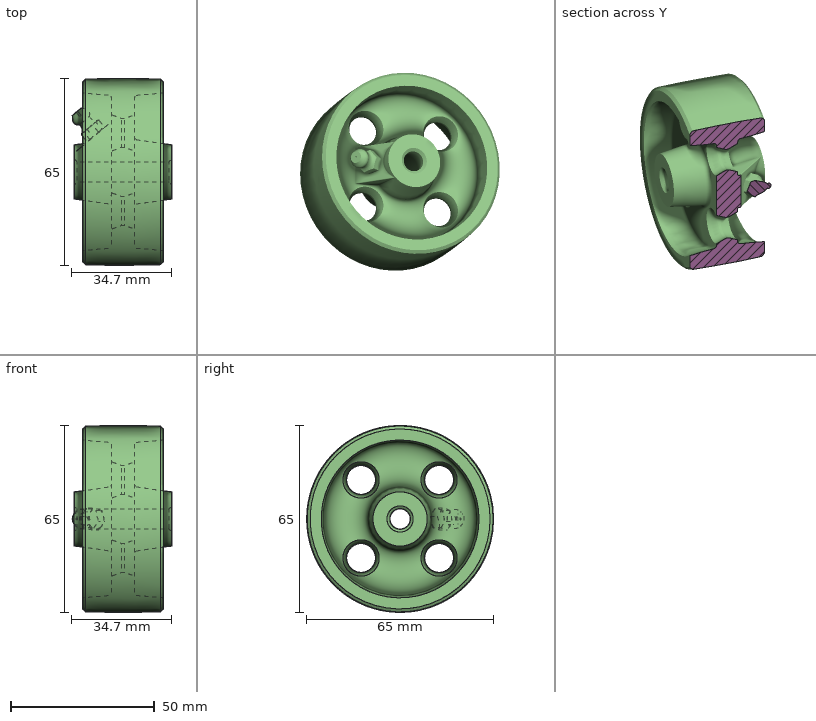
import cadquery as cq
import math

WHEEL_RADIUS = 32.5
CROWN = 0.2
RIM_WIDTH = 28.0
RIM_CHAMFER = 1.05
RIM_INNER_RADIUS = 27.4
RIM_DRAFT = 5.0
WEB_THICKNESS = 8.0
WEB_FILLET = 1.0
HUB_LENGTH = 34.0
HUB_RADIUS = 9.4
HUB_DRAFT = 8.0
BORE_RADIUS = 3.5
BORE_CHAMFER = 1.05

HOLE_COUNT = 4
HOLE_PITCH_RADIUS = 19.2
HOLE_MOUTH_RADIUS = 6.3
HOLE_LAND_RADIUS = 5.0
HOLE_LAND_LENGTH = 1.0

PAD_ANGLE = 50.0
PAD_REACH = 17.5
PAD_WIDTH = 13.0
PAD_FILLET = 0.25

NIPPLE_OFFSET = 7.0
HEX_SIDES = 6
HEX_FLATS = 7.0
HEX_HEIGHT = 3.25
HEX_TURN = 12.5
HEX_BEVEL = 0.25
FLARE_RADIUS = 2.55
FLARE_HEIGHT = 4.55
NECK_RADIUS = 2.2
NECK_HEIGHT = 6.3
BALL_RADIUS = 3.3
BALL_HEIGHT = 7.9
SHOULDER_RADIUS = 2.85
SHOULDER_HEIGHT = 9.3
TIP_RADIUS = 2.1
TIP_HEIGHT = 10.4
OIL_HOLE_RADIUS = 0.3
OIL_HOLE_DEPTH = 1.95

SELECTION_MARGIN = 0.05

half_rim = RIM_WIDTH / 2
half_web = WEB_THICKNESS / 2
half_hub = HUB_LENGTH / 2
tread_edge_radius = WHEEL_RADIUS - CROWN
rim_root_radius = RIM_INNER_RADIUS - (half_rim - half_web) * math.tan(math.radians(RIM_DRAFT))
hub_root_radius = HUB_RADIUS + (half_hub - half_web) * math.tan(math.radians(HUB_DRAFT))

pad_normal = cq.Vector(
    -math.cos(math.radians(PAD_ANGLE)), math.sin(math.radians(PAD_ANGLE)), 0
)
pad_uphill = cq.Vector(-pad_normal.y, pad_normal.x, 0)
pad_foot = cq.Vector(-half_web, PAD_REACH, 0)
nipple_plane = cq.Plane(
    origin=pad_foot + pad_uphill * NIPPLE_OFFSET, xDir=pad_uphill, normal=pad_normal
)


def revolve_about_x(profile):
    """Turn a closed XY profile (x along the axis, y as radius) about the X axis."""
    return profile.revolve(360, (0, 0, 0), (1, 0, 0))


def make_wheel_blank():
    """Solid rim, web and hub; the profile is symmetric about x = 0."""
    chamfer_start = half_rim - RIM_CHAMFER
    profile = (
        cq.Workplane("XY")
        .moveTo(-half_hub, 0)
        .lineTo(-half_hub, HUB_RADIUS)
        .lineTo(-half_web, hub_root_radius)
        .lineTo(-half_web, rim_root_radius)
        .lineTo(-half_rim, RIM_INNER_RADIUS)
        .lineTo(-half_rim, tread_edge_radius - RIM_CHAMFER)
        .lineTo(-chamfer_start, tread_edge_radius)
        .threePointArc((0, WHEEL_RADIUS), (chamfer_start, tread_edge_radius))
        .lineTo(half_rim, tread_edge_radius - RIM_CHAMFER)
        .lineTo(half_rim, RIM_INNER_RADIUS)
        .lineTo(half_web, rim_root_radius)
        .lineTo(half_web, hub_root_radius)
        .lineTo(half_hub, HUB_RADIUS)
        .lineTo(half_hub, 0)
        .close()
    )
    blank = revolve_about_x(profile)
    corner_reach = rim_root_radius + SELECTION_MARGIN
    web_corners = cq.selectors.BoxSelector(
        (-half_web - SELECTION_MARGIN, -corner_reach, -corner_reach),
        (half_web + SELECTION_MARGIN, corner_reach, corner_reach),
        boundingbox=True,
    )
    return blank.edges(web_corners).fillet(WEB_FILLET)


def make_pad():
    """Wedge rising from the web into the hub on the -X, +Y side, as high as the hub face."""
    climb = half_hub - half_web
    top_reach = PAD_REACH - climb * pad_uphill.y / pad_uphill.x
    return (
        cq.Workplane("XY")
        .moveTo(0, 0)
        .lineTo(0, PAD_REACH)
        .lineTo(-half_web, PAD_REACH)
        .lineTo(-half_hub, top_reach)
        .lineTo(-half_hub, 0)
        .close()
        .extrude(PAD_WIDTH / 2, both=True)
    )


def make_bore():
    """Shaft bore with a chamfer at both hub faces."""
    mouth_radius = BORE_RADIUS + BORE_CHAMFER
    chamfer_start = half_hub - BORE_CHAMFER
    profile = cq.Workplane("XY").polyline([
        (-half_hub, 0),
        (-half_hub, mouth_radius),
        (-chamfer_start, BORE_RADIUS),
        (chamfer_start, BORE_RADIUS),
        (half_hub, mouth_radius),
        (half_hub, 0),
    ]).close()
    return revolve_about_x(profile)


def make_lightening_hole(angle):
    """Double-tapered hole through the web, turned to its angle about the X axis."""
    half_land = HOLE_LAND_LENGTH / 2
    profile = cq.Workplane("XY").polyline([
        (-half_web, 0),
        (-half_web, HOLE_MOUTH_RADIUS),
        (-half_land, HOLE_LAND_RADIUS),
        (half_land, HOLE_LAND_RADIUS),
        (half_web, HOLE_MOUTH_RADIUS),
        (half_web, 0),
    ]).close()
    return (
        revolve_about_x(profile)
        .translate((0, HOLE_PITCH_RADIUS, 0))
        .rotate((0, 0, 0), (1, 0, 0), angle)
    )


def make_wheel():
    """Wheel with its filleted pad, bore and lightening holes."""
    pad_box = cq.selectors.BoxSelector(
        (-half_hub - SELECTION_MARGIN, 0, -PAD_WIDTH / 2 - SELECTION_MARGIN),
        (-half_web + SELECTION_MARGIN, PAD_REACH + SELECTION_MARGIN, PAD_WIDTH / 2 + SELECTION_MARGIN),
        boundingbox=True,
    )
    wheel = make_wheel_blank().union(make_pad()).edges(pad_box).fillet(PAD_FILLET)
    wheel = wheel.cut(make_bore())
    pitch_angle = 360 / HOLE_COUNT
    for index in range(HOLE_COUNT):
        wheel = wheel.cut(make_lightening_hole((index + 0.5) * pitch_angle))
    return wheel.solids().val()


def make_nipple():
    """Grease nipple turned from hexagon bar, built upright, then seated on the pad."""
    corner_radius = HEX_FLATS / 2 / math.cos(math.pi / HEX_SIDES)
    turned_shape = (
        cq.Workplane("XZ")
        .lineTo(HEX_FLATS / 2, 0)
        .lineTo(corner_radius, HEX_BEVEL)
        .lineTo(corner_radius, HEX_HEIGHT)
        .threePointArc((FLARE_RADIUS, FLARE_HEIGHT), (NECK_RADIUS, NECK_HEIGHT))
        .threePointArc((BALL_RADIUS, BALL_HEIGHT), (SHOULDER_RADIUS, SHOULDER_HEIGHT))
        .lineTo(TIP_RADIUS, TIP_HEIGHT)
        .lineTo(0, TIP_HEIGHT)
        .close()
        .revolve(360, (0, 0, 0), (0, 1, 0))
    )
    hexagon_bar = (
        cq.Workplane("XY")
        .polygon(HEX_SIDES, 2 * corner_radius)
        .extrude(TIP_HEIGHT)
        .rotate((0, 0, 0), (0, 0, 1), HEX_TURN)
    )
    oil_hole = (
        cq.Workplane("XY", origin=(0, 0, TIP_HEIGHT - OIL_HOLE_DEPTH))
        .circle(OIL_HOLE_RADIUS)
        .extrude(OIL_HOLE_DEPTH)
    )
    nipple = turned_shape.intersect(hexagon_bar).cut(oil_hole)
    return nipple.solids().val().located(cq.Location(nipple_plane))


wheel = make_wheel()
nipple = make_nipple()

result = cq.Compound.makeCompound([wheel, nipple])